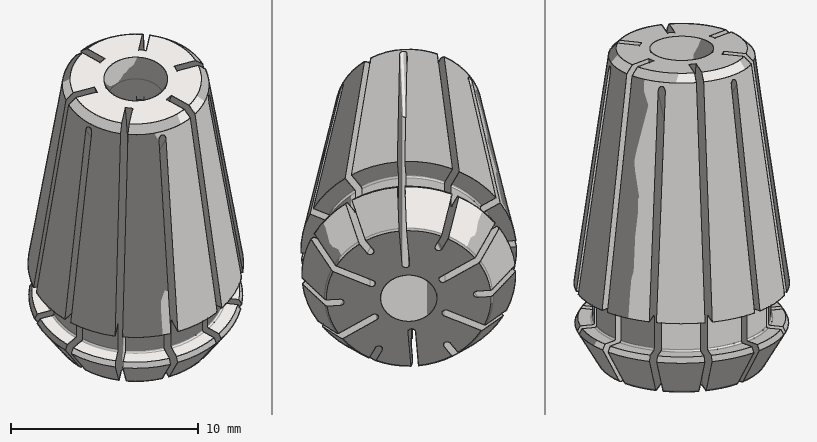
import cadquery as cq
import math

LENGTH = 18.0
TAPER_RADIUS = 5.75
TAPER_HALF_ANGLE = 8.0
TAPER_START_Z = 4.5
TOP_CHAMFER_HEIGHT = 0.4
TOP_FACE_RADIUS = 3.5

FLANGE_RADIUS = 5.7
NOSE_HALF_ANGLE = 30.0
NOSE_CHAMFER = 0.1
FLANGE_EDGE_Z = 2.2
FLANGE_TOP_Z = 2.5
FLANGE_TOP_RADIUS = 5.54
GROOVE_RADIUS = 4.75
GROOVE_FILLET = 0.1

BORE_RADIUS = 1.5
FLARE_WIDTH = 0.2
FLARE_ARC_RADIUS = 5.0

SLOT_WIDTH = 0.4
SLOTS_PER_FAMILY = 6
SLOT_PITCH = 360.0 / SLOTS_PER_FAMILY
SLOT_OVERRUN = 1.0
SLOT_OUTER_RADIUS = TAPER_RADIUS + SLOT_OVERRUN
SLOT_INNER_RADIUS = 1.0

OPEN_SLOT_TOP_RADIUS = 2.28
OPEN_SLOT_WINDOW_TOP_Z = 15.1
OPEN_SLOT_NOSE_RADIUS = 3.46
OPEN_SLOT_FLOOR_ANGLE = 20.0

CLOSED_SLOT_END_Z = 17.37
CLOSED_SLOT_BEND_Z = 14.0
CLOSED_SLOT_RUNOUT_ANGLE = 30.0


def taper_radius_at(z):
    return TAPER_RADIUS - (z - TAPER_START_Z) * math.tan(math.radians(TAPER_HALF_ANGLE))


def make_body():
    chamfer_z = LENGTH - TOP_CHAMFER_HEIGHT
    nose_cone_height = FLANGE_EDGE_Z - NOSE_CHAMFER
    nose_radius = FLANGE_RADIUS - nose_cone_height * math.tan(math.radians(NOSE_HALF_ANGLE))
    fillet_outer_radius = GROOVE_RADIUS + GROOVE_FILLET
    fillet_mid_inset = GROOVE_FILLET * (1 - math.sqrt(0.5))
    flare_height = math.sqrt(FLARE_ARC_RADIUS**2 - (FLARE_ARC_RADIUS - FLARE_WIDTH) ** 2)
    flare_start_z = LENGTH - flare_height
    flare_half_angle = math.asin(flare_height / FLARE_ARC_RADIUS) / 2
    flare_mid = (
        BORE_RADIUS + FLARE_ARC_RADIUS * (1 - math.cos(flare_half_angle)),
        flare_start_z + FLARE_ARC_RADIUS * math.sin(flare_half_angle),
    )
    profile = (
        cq.Workplane("XZ")
        .moveTo(BORE_RADIUS, 0)
        .lineTo(nose_radius - NOSE_CHAMFER, 0)
        .lineTo(nose_radius, NOSE_CHAMFER)
        .lineTo(FLANGE_RADIUS, FLANGE_EDGE_Z)
        .lineTo(FLANGE_TOP_RADIUS, FLANGE_TOP_Z)
        .lineTo(fillet_outer_radius, FLANGE_TOP_Z)
        .threePointArc(
            (GROOVE_RADIUS + fillet_mid_inset, FLANGE_TOP_Z + fillet_mid_inset),
            (GROOVE_RADIUS, FLANGE_TOP_Z + GROOVE_FILLET),
        )
        .lineTo(GROOVE_RADIUS, TAPER_START_Z - GROOVE_FILLET)
        .threePointArc(
            (GROOVE_RADIUS + fillet_mid_inset, TAPER_START_Z - fillet_mid_inset),
            (fillet_outer_radius, TAPER_START_Z),
        )
        .lineTo(TAPER_RADIUS, TAPER_START_Z)
        .lineTo(taper_radius_at(chamfer_z), chamfer_z)
        .lineTo(TOP_FACE_RADIUS, LENGTH)
        .lineTo(BORE_RADIUS + FLARE_WIDTH, LENGTH)
        .threePointArc(flare_mid, (BORE_RADIUS, flare_start_z))
        .close()
    )
    return profile.revolve(360, (0, 0, 0), (0, 1, 0))


def parallel_offset(start, end, distance):
    """Shift the (radius, z) line start-end sideways, to the right of its direction."""
    length = math.dist(start, end)
    shift_radius = (end[1] - start[1]) / length * distance
    shift_z = -(end[0] - start[0]) / length * distance
    return (start[0] + shift_radius, start[1] + shift_z), (end[0] + shift_radius, end[1] + shift_z)


def slot_plate(outline):
    """Plate as thick as a slot, with a (radius, z) outline, lying along +X."""
    return cq.Workplane("XZ").polyline(outline).close().extrude(SLOT_WIDTH / 2, both=True)


def slot_rod(path):
    """Mitred round rod along (radius, z) points, giving a slot its rounded floor."""
    spine = cq.Workplane("XZ").polyline(path)
    direction = (path[1][0] - path[0][0], 0, path[1][1] - path[0][1])
    end_plane = cq.Plane(origin=(path[0][0], 0, path[0][1]), xDir=(0, 1, 0), normal=direction)
    return cq.Workplane(end_plane).circle(SLOT_WIDTH / 2).sweep(spine, transition="right")


def make_open_slot():
    """Slot with a flat upper floor and a rounded lower floor, both sloping into the bore."""
    window_height = LENGTH - OPEN_SLOT_WINDOW_TOP_Z
    upper_slope = (OPEN_SLOT_TOP_RADIUS - BORE_RADIUS) / window_height
    upper_start = (OPEN_SLOT_TOP_RADIUS + SLOT_OVERRUN * upper_slope, LENGTH + SLOT_OVERRUN)
    upper_end = (SLOT_INNER_RADIUS, LENGTH - (OPEN_SLOT_TOP_RADIUS - SLOT_INNER_RADIUS) / upper_slope)

    floor_slope = math.tan(math.radians(OPEN_SLOT_FLOOR_ANGLE))
    floor_start = (OPEN_SLOT_NOSE_RADIUS + SLOT_OVERRUN * floor_slope, -SLOT_OVERRUN)
    floor_end = (SLOT_INNER_RADIUS, (OPEN_SLOT_NOSE_RADIUS - SLOT_INNER_RADIUS) / floor_slope)
    rod_path = parallel_offset(floor_start, floor_end, SLOT_WIDTH / 2)
    outline = [
        *rod_path,
        upper_end,
        upper_start,
        (SLOT_OUTER_RADIUS, LENGTH + SLOT_OVERRUN),
        (SLOT_OUTER_RADIUS, -SLOT_OVERRUN),
    ]
    return slot_plate(outline).union(slot_rod(rod_path))


def make_closed_slot():
    """Slot with a rounded floor, parallel to the axis and then running out through the taper."""
    runout_slope = math.tan(math.radians(CLOSED_SLOT_RUNOUT_ANGLE))
    runout_height = CLOSED_SLOT_END_Z - CLOSED_SLOT_BEND_Z
    floor_radius = taper_radius_at(CLOSED_SLOT_END_Z) - runout_height * runout_slope
    axis_radius = floor_radius + SLOT_WIDTH / 2
    runout_end = (
        SLOT_OUTER_RADIUS,
        CLOSED_SLOT_BEND_Z + (SLOT_OUTER_RADIUS - floor_radius) / runout_slope,
    )
    runout_start = (floor_radius, CLOSED_SLOT_BEND_Z)
    axis_start, axis_end = parallel_offset(runout_start, runout_end, SLOT_WIDTH / 2)
    bend_z = axis_start[1] + (axis_radius - axis_start[0]) / runout_slope
    rod_path = [(axis_radius, -SLOT_OVERRUN), (axis_radius, bend_z), axis_end]
    outline = [*rod_path, (SLOT_OUTER_RADIUS, -SLOT_OVERRUN)]
    return slot_plate(outline).union(slot_rod(rod_path))


def cut_around(body, cutter, first_angle):
    """Cut one family of slots, evenly spaced around the axis."""
    for index in range(SLOTS_PER_FAMILY):
        angle = first_angle + index * SLOT_PITCH
        body = body.cut(cutter.rotate((0, 0, 0), (0, 0, 1), angle))
    return body


result = make_body()
result = cut_around(result, make_open_slot(), 0)
result = cut_around(result, make_closed_slot(), SLOT_PITCH / 2)